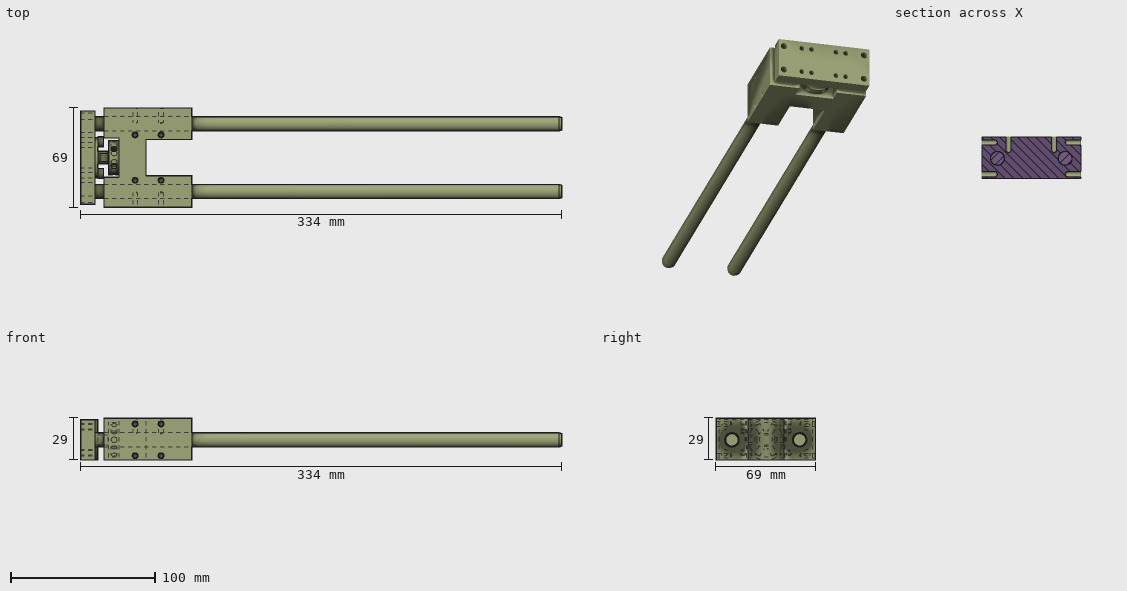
import cadquery as cq
import math


thread_hole_diameter = 3.24
thread_mouth_diameter = 4.0

total_length = 334.0

plate_thickness = 10.0
plate_width = 65.0
plate_height = 28.0
plate_hole_z = 9.0
plate_corner_hole_diameter = 4.5
plate_corner_hole_y = 28.75
plate_thread_hole_ys = (8.75, 15.75)

rod_diameter = 10.0
rod_spacing = 47.0
rod_chamfer_length = 2.0
rod_chamfer_depth = 0.7

flange_diameter = 28.0
flange_thickness = 2.0
screw_head_diameter = 7.0
screw_head_height = 4.0
screw_offset = 11.0
stub_diameter = 9.0
stub_length = 7.0
stub_flat_start = 1.5
stub_across_flats = 7.0

housing_gap = 6.2
housing_length = 61.0
housing_width = 69.0
housing_height = 29.0
front_pocket_depth = 10.3
front_pocket_width = 27.0
web_thickness = 19.0
rear_slot_width = 25.0

nut_diameter = 24.0
nut_thickness = 7.0
spanner_hole_diameter = 4.0
spanner_hole_depth = 6.0
spanner_hole_count = 6
spanner_hole_setback = 3.3

mount_hole_depth = 10.0
mount_drill_tip_angle = 118.0
mount_hole_first_x = 21.6
mount_hole_pitch = 18.0
side_hole_z = 11.0
top_hole_y = 15.75

rod_ys = (-rod_spacing / 2, rod_spacing / 2)
bottom_z = -plate_height / 2
top_z = bottom_z + housing_height
housing_front_x = plate_thickness + housing_gap
housing_back_x = housing_front_x + housing_length
web_front_x = housing_front_x + front_pocket_depth
web_back_x = web_front_x + web_thickness
nut_front_x = web_front_x - nut_thickness
flange_back_x = plate_thickness + flange_thickness
mount_hole_xs = [housing_front_x + mount_hole_first_x + i * mount_hole_pitch for i in range(2)]


def x_cylinder(diameter, x_start, length, y=0.0, z=0.0):
    """Cylinder along +X."""
    return cq.Workplane(
        cq.Solid.makeCylinder(diameter / 2, length, cq.Vector(x_start, y, z), cq.Vector(1, 0, 0))
    )


def box(x_start, x_end, width, z_low, z_high):
    """Box centred on Y = 0."""
    return cq.Workplane("XY").box(
        x_end - x_start, width, z_high - z_low, centered=(False, True, False)
    ).translate((x_start, 0, z_low))


def countersink(mouth, direction):
    """45 degree cone that widens a threaded hole at its mouth."""
    mouth_radius = thread_mouth_diameter / 2
    hole_radius = thread_hole_diameter / 2
    depth = mouth_radius - hole_radius
    cone = cq.Solid.makeCone(mouth_radius, hole_radius, depth, cq.Vector(*mouth), cq.Vector(*direction))
    return cq.Workplane(cone)


def drilled_hole(mouth, direction):
    """Blind hole with a countersunk mouth and a conical drill tip, cut inwards from the mouth."""
    radius = thread_hole_diameter / 2
    tip_length = radius / math.tan(math.radians(mount_drill_tip_angle / 2))
    inward = cq.Vector(*direction)
    tip_base = cq.Vector(*mouth) + inward * mount_hole_depth
    shaft = cq.Solid.makeCylinder(radius, mount_hole_depth, cq.Vector(*mouth), inward)
    tip = cq.Solid.makeCone(radius, 0, tip_length, tip_base, inward)
    entry = countersink(mouth, direction)
    return cq.Workplane(shaft).union(cq.Workplane(tip)).union(entry)


def make_plate():
    plate = box(0, plate_thickness, plate_width, bottom_z, bottom_z + plate_height)
    for side in (-1, 1):
        for z in (-plate_hole_z, plate_hole_z):
            corner_y = side * plate_corner_hole_y
            plate = plate.cut(x_cylinder(plate_corner_hole_diameter, 0, plate_thickness, corner_y, z))
            for offset in plate_thread_hole_ys:
                y = side * offset
                plate = plate.cut(x_cylinder(thread_hole_diameter, 0, plate_thickness, y, z))
                plate = plate.cut(countersink((0, y, z), (1, 0, 0)))
    return plate


def make_rod(y):
    """Round rod from the plate's back face, tapered at its free end."""
    rod = x_cylinder(rod_diameter, plate_thickness, total_length - plate_thickness, y)
    return rod.faces(">X").chamfer(rod_chamfer_length, rod_chamfer_depth)


def make_coupling():
    """Flange with two screw heads and a stub carrying two wrench flats."""
    coupling = x_cylinder(flange_diameter, plate_thickness, flange_thickness)
    for y in (-screw_offset, screw_offset):
        coupling = coupling.union(x_cylinder(screw_head_diameter, flange_back_x, screw_head_height, y))
    stub = x_cylinder(stub_diameter, flange_back_x, stub_length)
    flat_x = flange_back_x + stub_flat_start
    stub_end_x = flange_back_x + stub_length
    half_flats = stub_across_flats / 2
    stub_radius = stub_diameter / 2
    stub = stub.cut(box(flat_x, stub_end_x, stub_diameter, half_flats, stub_radius))
    stub = stub.cut(box(flat_x, stub_end_x, stub_diameter, -stub_radius, -half_flats))
    return coupling.union(stub)


def make_carriage():
    carriage = make_plate().union(make_coupling())
    for y in rod_ys:
        carriage = carriage.union(make_rod(y))
    return carriage


def make_nut():
    """Round nut with radial spanner holes around its rim."""
    nut = x_cylinder(nut_diameter, nut_front_x, nut_thickness)
    nut_radius = nut_diameter / 2
    hole_x = web_front_x - spanner_hole_setback
    step = 2 * math.pi / spanner_hole_count
    for i in range(spanner_hole_count):
        angle = i * step
        outward = cq.Vector(0, math.cos(angle), math.sin(angle))
        start = cq.Vector(hole_x, 0, 0) + outward * (nut_radius - spanner_hole_depth)
        hole = cq.Solid.makeCylinder(spanner_hole_diameter / 2, nut_radius, start, outward)
        nut = nut.cut(cq.Workplane(hole))
    return nut


def make_housing():
    housing = box(housing_front_x, housing_back_x, housing_width, bottom_z, top_z)
    housing = housing.cut(box(housing_front_x, web_front_x, front_pocket_width, bottom_z, top_z))
    housing = housing.cut(box(web_back_x, housing_back_x, rear_slot_width, bottom_z, top_z))
    for y in rod_ys:
        housing = housing.cut(x_cylinder(rod_diameter, housing_front_x, housing_length, y))
    for x in mount_hole_xs:
        for side in (-1, 1):
            housing = housing.cut(drilled_hole((x, side * top_hole_y, top_z), (0, 0, -1)))
            for z in (-side_hole_z, side_hole_z):
                mouth = (x, side * housing_width / 2, z)
                housing = housing.cut(drilled_hole(mouth, (0, -side, 0)))
    return housing.union(make_nut())


carriage = make_carriage()
housing = make_housing()

result = cq.Compound.makeCompound([carriage.val(), housing.val()])